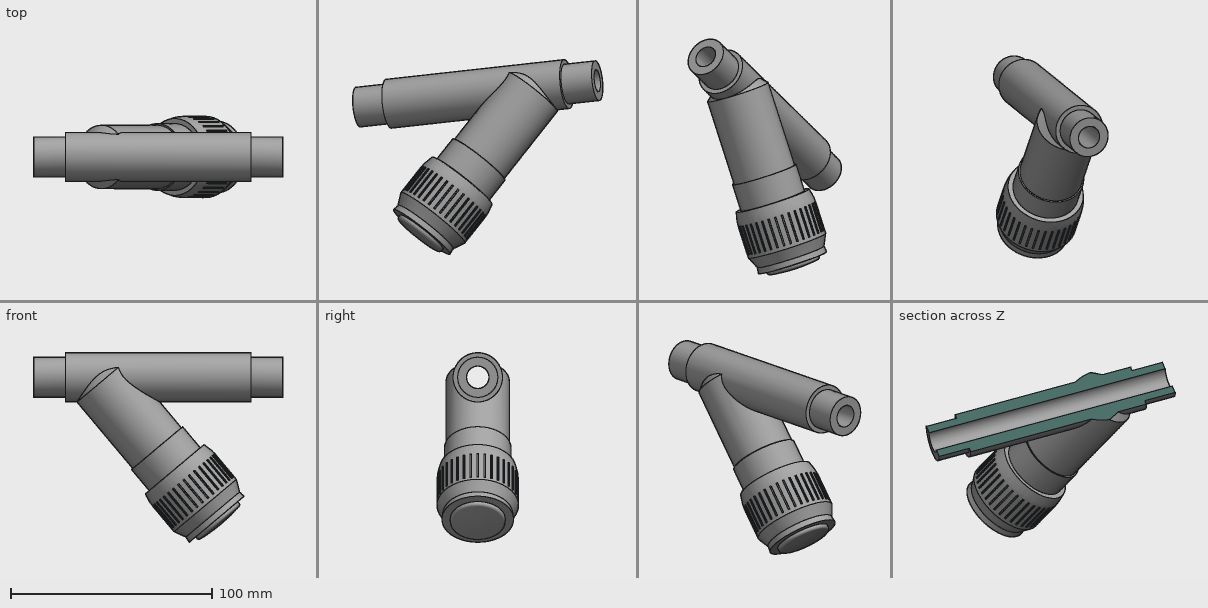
import cadquery as cq
import math

PIPE_LENGTH = 124.0
SPIGOT_DIA = 20.0
BARREL_DIA = 24.5
BARREL_LENGTH = 92.3
BORE_DIA = 11.0

BRANCH_X = -30.1
BRANCH_TILT = 40.0

BRANCH_DIA = 31.6
MOUTH_STATION = 2.9
COLLAR_DIA = 33.2
COLLAR_STATION = 46.0
COLLAR_LENGTH = 13.6

KNOB_DIA = 40.5
KNOB_NOSE_DIA = 38.2
RIM_DIA = 35.7
NECK_DIA = 35.0
BUTTON_DIA = 27.4
BUTTON_SIDE_HEIGHT = 2.1
BUTTON_ROUND = 1.2
BUTTON_DOME_RISE = 1.1
NOSE_LENGTH = 7.9
GRIP_LENGTH = 15.6
TAPER_LENGTH = 5.8
RIM_LENGTH = 3.1

SLOT_COUNT = 36
SLOT_WIDTH = 0.7
SLOT_DEPTH = 0.4
SLOT_LENGTH = 14.9
SLOT_END_MARGIN = 1.9

KNOB_STATION = COLLAR_STATION + COLLAR_LENGTH
GRIP_STATION = KNOB_STATION + NOSE_LENGTH
TAPER_STATION = GRIP_STATION + GRIP_LENGTH
RIM_STATION = TAPER_STATION + TAPER_LENGTH
RIM_END = RIM_STATION + RIM_LENGTH


def x_cylinder(diameter, length):
    """Cylinder along X, centred on the origin."""
    return cq.Workplane("YZ", origin=(-length / 2, 0, 0)).circle(diameter / 2).extrude(length)


def place_on_branch(shape):
    """Move a shape built around +Z from the origin onto the branch axis."""
    turned = shape.rotate((0, 0, 0), (0, 1, 0), 180 - BRANCH_TILT)
    return turned.translate((BRANCH_X, 0, 0))


def revolve_profile(profile):
    """Revolve a closed XZ profile about Z."""
    return profile.close().revolve(360, (0, 0, 0), (0, 1, 0))


def make_branch():
    """Branch stem with a 45 degree cone toward the pipe and a collar at its far end."""
    branch_radius = BRANCH_DIA / 2
    collar_radius = COLLAR_DIA / 2
    profile = (
        cq.Workplane("XZ")
        .moveTo(0, MOUTH_STATION - branch_radius)
        .lineTo(branch_radius, MOUTH_STATION)
        .lineTo(branch_radius, COLLAR_STATION)
        .lineTo(collar_radius, COLLAR_STATION)
        .lineTo(collar_radius, KNOB_STATION)
        .lineTo(0, KNOB_STATION)
    )
    return place_on_branch(revolve_profile(profile))


def make_valve_body():
    """Bored pipe with thinner ends and the sloping branch."""
    body = x_cylinder(SPIGOT_DIA, PIPE_LENGTH)
    body = body.union(x_cylinder(BARREL_DIA, BARREL_LENGTH))
    body = body.union(make_branch())
    return body.cut(x_cylinder(BORE_DIA, PIPE_LENGTH))


def arc_middle(drop, run):
    """Middle of an arc that starts level and falls by drop over run, as (drop, run) offsets."""
    radius = (run**2 + drop**2) / (2 * drop)
    half_angle = math.asin(run / radius) / 2
    return radius * (1 - math.cos(half_angle)), radius * math.sin(half_angle)


def make_knob_blank():
    """Turned knob: crowned nose, straight grip, taper, flared rim and domed button."""
    nose_radius = KNOB_NOSE_DIA / 2
    grip_radius = KNOB_DIA / 2
    button_radius = BUTTON_DIA / 2
    dome_start = RIM_END + BUTTON_SIDE_HEIGHT
    button_end = dome_start + BUTTON_DOME_RISE
    crown_inset, crown_back = arc_middle(grip_radius - nose_radius, NOSE_LENGTH)
    dome_drop, dome_out = arc_middle(BUTTON_DOME_RISE, button_radius)
    crown_middle = (grip_radius - crown_inset, GRIP_STATION - crown_back)
    dome_middle = (dome_out, button_end - dome_drop)
    profile = (
        cq.Workplane("XZ")
        .moveTo(0, KNOB_STATION)
        .lineTo(nose_radius, KNOB_STATION)
        .threePointArc(crown_middle, (grip_radius, GRIP_STATION))
        .lineTo(grip_radius, TAPER_STATION)
        .lineTo(NECK_DIA / 2, RIM_STATION)
        .lineTo(RIM_DIA / 2, RIM_END)
        .lineTo(button_radius, RIM_END)
        .lineTo(button_radius, dome_start)
        .threePointArc(dome_middle, (0, button_end))
    )
    dome_edge = cq.selectors.NearestToPointSelector((0, 0, dome_start))
    return revolve_profile(profile).edges(dome_edge).fillet(BUTTON_ROUND)


def make_grip_slots():
    """Ring of narrow slots cut into the grip."""
    slot_end = TAPER_STATION - SLOT_END_MARGIN
    slot = cq.Workplane("XY").box(2 * SLOT_DEPTH, SLOT_WIDTH, SLOT_LENGTH)
    slot = slot.translate((KNOB_DIA / 2, 0, slot_end - SLOT_LENGTH / 2))
    slots = []
    for index in range(SLOT_COUNT):
        angle = index * 360 / SLOT_COUNT
        slots.append(slot.rotate((0, 0, 0), (0, 0, 1), angle).val())
    return cq.Workplane("XY").newObject([cq.Compound.makeCompound(slots)])


def make_knob():
    """Slotted knob on the end of the branch."""
    return place_on_branch(make_knob_blank().cut(make_grip_slots()))


valve_body = make_valve_body()
knob = make_knob()
result = cq.Compound.makeCompound([valve_body.val(), knob.val()])